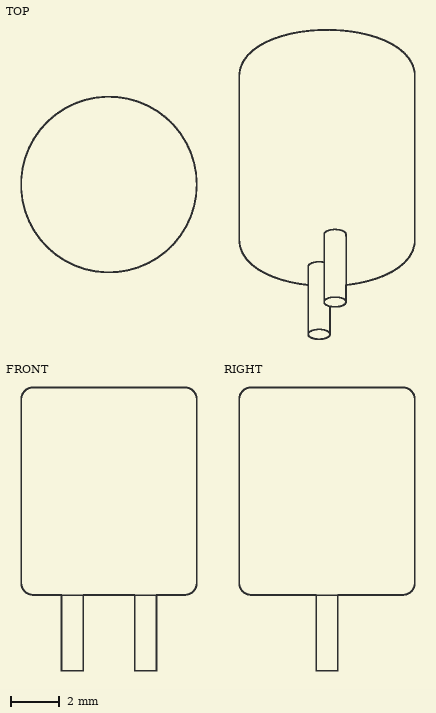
import cadquery as cq

body_diameter = 7.2
body_height = 8.5
edge_radius = 0.5
pin_diameter = 0.9
pin_length = 3.1
pin_spacing = 3.0


def make_body():
    """Cylindrical can standing on Z = 0, with both rims rounded."""
    can = cq.Workplane("XY").circle(body_diameter / 2).extrude(body_height)
    return can.faces("<Z or >Z").edges().fillet(edge_radius)


def make_pins():
    """Two straight round leads hanging below the can, side by side along X."""
    pin_centers = [(-pin_spacing / 2, 0), (pin_spacing / 2, 0)]
    return (
        cq.Workplane("XY")
        .pushPoints(pin_centers)
        .circle(pin_diameter / 2)
        .extrude(-pin_length)
    )


result = make_body().union(make_pins())